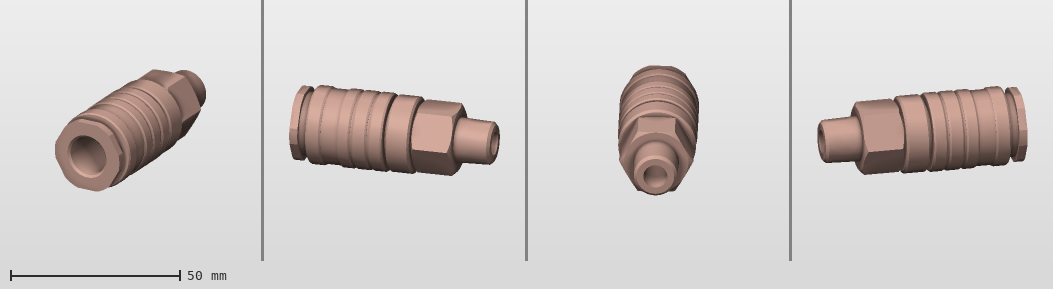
import cadquery as cq
import math

total_length = 60.0

flange_length = 2.45
flange_radius = 11.05
flange_across_flats = 21.1

sleeve_radius = 11.3
sleeve_start = 5.0
sleeve_end = 28.45
grip_radius = 11.75
grip_groove = 0.55
front_grip_length = 4.55
grip_pitch = 5.1
third_grip_start = 14.5
third_grip_length = 4.0

collar_radius = 11.5
collar_start = 29.5
collar_end = 36.6
collar_rear_chamfer_depth = 0.7
ring_chamfer_length = 0.55
ring_chamfer_depth = 0.35
front_neck_radius = 9.5
rear_neck_radius = 8.6

hex_start = 36.95
hex_end = 49.15
hex_across_flats = 19.0
hex_chamfer_angle = 30.0
flat_to_corner = 1 / math.cos(math.pi / 6)

taper_root_radius = 6.7
taper_on_radius = 1 / 32
tip_chamfer = 0.85

socket_radius = 6.0
socket_mouth_radius = 6.65
socket_chamfer_length = 0.65
socket_depth = sleeve_end
passage_radius = 3.55


def turned(profile):
    """Revolve a closed (radius, Y) outline about the Y axis."""
    return cq.Workplane("XY").polyline(profile).close().revolve(360, (0, 0, 0), (0, 1, 0))


def cylinder(start, end, radius):
    return turned([(0, start), (radius, start), (radius, end), (0, end)])


def chamfered_ring(start, end, radius, end_chamfer_depth=ring_chamfer_depth):
    """Disc with both outer edges chamfered."""
    return turned([
        (0, start),
        (radius - ring_chamfer_depth, start),
        (radius, start + ring_chamfer_length),
        (radius, end - ring_chamfer_length),
        (radius - end_chamfer_depth, end),
        (0, end),
    ])


def hexagon(start, end, across_flats):
    """Hexagonal bar along Y with its corners on the X axis."""
    corner_diameter = across_flats * flat_to_corner
    return (
        cq.Workplane("XZ", origin=(0, start, 0))
        .polygon(6, corner_diameter)
        .extrude(start - end)
    )


def mouth_flange():
    disc = cylinder(0, flange_length, flange_radius)
    return disc.intersect(hexagon(0, flange_length, flange_across_flats))


def sleeve():
    grip_land = grip_pitch - grip_groove
    second_start = third_grip_start + third_grip_length + grip_groove
    grips = [
        (sleeve_start, sleeve_start + front_grip_length),
        (third_grip_start, third_grip_start + third_grip_length),
        (second_start, second_start + grip_land),
        (second_start + grip_pitch, sleeve_end),
    ]
    barrel = cylinder(
        sleeve_start + ring_chamfer_length, sleeve_end - ring_chamfer_length, sleeve_radius
    )
    for start, end in grips:
        barrel = barrel.union(chamfered_ring(start, end, grip_radius))
    return barrel


def wrench_hexagon():
    face_radius = hex_across_flats / 2
    corner_radius = face_radius * flat_to_corner
    chamfer_length = (corner_radius - face_radius) * math.tan(math.radians(hex_chamfer_angle))
    chamfer_envelope = turned([
        (0, hex_start),
        (face_radius, hex_start),
        (corner_radius, hex_start + chamfer_length),
        (corner_radius, hex_end - chamfer_length),
        (face_radius, hex_end),
        (0, hex_end),
    ])
    return hexagon(hex_start, hex_end, hex_across_flats).intersect(chamfer_envelope)


def tapered_end():
    taper_end = total_length - tip_chamfer
    taper_end_radius = taper_root_radius - (taper_end - hex_end) * taper_on_radius
    return turned([
        (0, hex_end),
        (taper_root_radius, hex_end),
        (taper_end_radius, taper_end),
        (taper_end_radius - tip_chamfer, total_length),
        (0, total_length),
    ])


def bore():
    return turned([
        (0, 0),
        (socket_mouth_radius, 0),
        (socket_radius, socket_chamfer_length),
        (socket_radius, socket_depth),
        (passage_radius, socket_depth),
        (passage_radius, total_length),
        (0, total_length),
    ])


result = (
    mouth_flange()
    .union(cylinder(flange_length, sleeve_start, front_neck_radius))
    .union(sleeve())
    .union(cylinder(sleeve_end, hex_start, rear_neck_radius))
    .union(chamfered_ring(collar_start, collar_end, collar_radius, collar_rear_chamfer_depth))
    .union(wrench_hexagon())
    .union(tapered_end())
    .cut(bore())
)